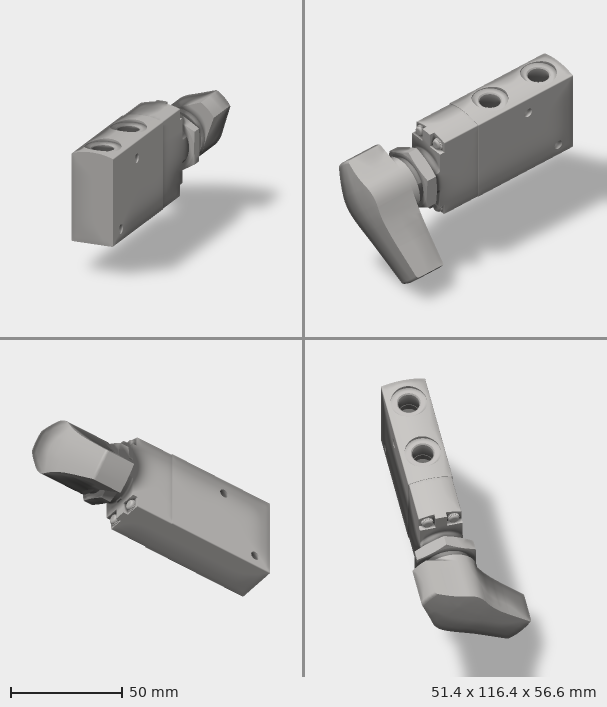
import cadquery as cq
import math


BODY_WIDTH = 20.38
BODY_LENGTH = 55.0
BODY_TOP = 22.65
BODY_BOTTOM = -20.9
CROWN_SAG = 1.75
EDGE_ROUNDING = 0.5

PORT_YS = (11.75, 39.9)
SPOTFACE_DIAMETER = 16.5
SPOTFACE_DEPTH = 1.5
PORT_MOUTH_DIAMETER = 10.8
THREAD_DIAMETER = 9.7
THREAD_DEPTH = 8.0
DRILL_DIAMETER = 9.12
DRILL_DEPTH = 11.0

MOUNT_HOLE_DIAMETER = 4.4
MOUNT_HOLES = ((26.0, 12.9), (8.5, -15.1))

CAP_WIDTH = 19.7
CAP_LENGTH = 22.0
CAP_CROWN_DROP = 0.2
CAP_END = BODY_LENGTH + CAP_LENGTH
NECK_DIAMETER = 22.15
NECK_LENGTH = 14.3
NECK_END = CAP_END + NECK_LENGTH
NECK_BASE_FILLET = 0.7
LUG_WIDTH = 3.0
LUG_HEIGHT = NECK_BASE_FILLET
LUG_BOTTOM = -12.1

RECESS_DEPTH = 2.5
RECESS_INNER_X = 2.65
RECESS_INNER_Z = 15.4
SCREW_X = 6.0
SCREW_Z = 18.15
HEAD_DIAMETER = 5.4
HEAD_HEIGHT = 2.2
HEAD_DOME_RADIUS = 1.0
KNURL_HEIGHT = 1.1
KNURL_DEPTH = 0.3
KNURL_COUNT = 20

NUT_ACROSS_FLATS = 27.0
NUT_THICKNESS = 6.0
NUT_START = 81.8
NUT_FACE_DIAMETER = 26.6
NUT_CHAMFER_ANGLE = 15.0

COLLAR_DIAMETER = 26.0
COLLAR_LENGTH = 3.5
HANDLE_BASE = NECK_END + COLLAR_LENGTH
HANDLE_END = 116.4
HANDLE_HEIGHT = HANDLE_END - HANDLE_BASE
HANDLE_ANGLE = 135.0
TIP_RADIUS = 41.5
TIP_HALF_WIDTH = 7.2
TAIL_RADIUS = 20.6
TAIL_HALF_WIDTH = 4.52
TAIL_FLANK_END = (-14.3, 7.25)
HUB_RADIUS = 13.05
HUB_START_ALONG = -6.5
HUB_END_ALONG = 3.95
LEVER_FLANK_START = (24.4, 8.56)
TOP_ARC_RADIUS = 75.0
TOP_SLOPE_ANGLE = 9.4
TAIL_ARC_ANGLE = 30.0
TOP_CROWN_RADIUS = 51.0
TOP_EDGE_FILLET = 1.5
END_ZONE = 1.0


def box_between(x0, x1, y0, y1, z0, z1):
    return cq.Workplane("XY").box(x1 - x0, y1 - y0, z1 - z0, centered=False).translate((x0, y0, z0))


def disc_along_y(diameter, y0, y1):
    return cq.Workplane("XZ", origin=(0, y0, 0)).circle(diameter / 2).extrude(y0 - y1)


def crowned_block(width, y0, y1, top):
    """Block along Y with a domed top face and rounded long edges."""
    half = width / 2
    shoulder = top - CROWN_SAG
    return (
        cq.Workplane("XZ", origin=(0, y0, 0))
        .moveTo(-half, BODY_BOTTOM)
        .lineTo(half, BODY_BOTTOM)
        .lineTo(half, shoulder)
        .threePointArc((0, top), (-half, shoulder))
        .close()
        .extrude(y0 - y1)
        .edges("|Y")
        .fillet(EDGE_ROUNDING)
    )


def port_cutter():
    """Spotface, chamfered thread and drilled hole, turned about Z from the top face down."""
    floor = BODY_TOP - SPOTFACE_DEPTH
    chamfer = (PORT_MOUTH_DIAMETER - THREAD_DIAMETER) / 2
    return (
        cq.Workplane("XZ")
        .moveTo(0, BODY_TOP)
        .lineTo(SPOTFACE_DIAMETER / 2, BODY_TOP)
        .lineTo(SPOTFACE_DIAMETER / 2, floor)
        .lineTo(PORT_MOUTH_DIAMETER / 2, floor)
        .lineTo(THREAD_DIAMETER / 2, floor - chamfer)
        .lineTo(THREAD_DIAMETER / 2, floor - THREAD_DEPTH)
        .lineTo(DRILL_DIAMETER / 2, floor - THREAD_DEPTH)
        .lineTo(DRILL_DIAMETER / 2, floor - DRILL_DEPTH)
        .lineTo(0, floor - DRILL_DEPTH)
        .close()
        .revolve(360, (0, 0), (0, 1))
    )


def make_body():
    body = crowned_block(BODY_WIDTH, 0, BODY_LENGTH, BODY_TOP)
    for port_y in PORT_YS:
        body = body.cut(port_cutter().translate((0, port_y, 0)))
    mount_holes = (
        cq.Workplane("YZ")
        .pushPoints(MOUNT_HOLES)
        .circle(MOUNT_HOLE_DIAMETER / 2)
        .extrude(BODY_WIDTH / 2, both=True)
    )
    return body.cut(mount_holes)


def make_screw_head():
    """Round-topped screw head on the Y axis with a knurled lower band, seat at Y = 0."""
    radius = HEAD_DIAMETER / 2
    outline = []
    for i in range(2 * KNURL_COUNT):
        angle = math.pi * i / KNURL_COUNT
        reach = radius - KNURL_DEPTH * (i % 2)
        outline.append((reach * math.cos(angle), reach * math.sin(angle)))
    knurl = cq.Workplane("XZ").polyline(outline).close().extrude(-KNURL_HEIGHT)
    core = disc_along_y(HEAD_DIAMETER - 2 * KNURL_DEPTH, 0, HEAD_HEIGHT)
    dome = core.faces(">Y").edges().fillet(HEAD_DOME_RADIUS)
    return knurl.union(dome)


def make_neck():
    """Round neck, flared by a fillet at its base, with two flats flush with the cap sides."""
    radius = NECK_DIAMETER / 2
    flare = radius + NECK_BASE_FILLET
    fillet_end = CAP_END + NECK_BASE_FILLET
    bend = NECK_BASE_FILLET * (1 - math.sqrt(0.5))
    round_neck = (
        cq.Workplane("XY")
        .moveTo(0, BODY_LENGTH)
        .lineTo(flare, BODY_LENGTH)
        .lineTo(flare, CAP_END)
        .threePointArc((radius + bend, CAP_END + bend), (radius, fillet_end))
        .lineTo(radius, NECK_END)
        .lineTo(0, NECK_END)
        .close()
        .revolve(360, (0, 0), (0, 1))
    )
    between_flats = box_between(-CAP_WIDTH / 2, CAP_WIDTH / 2, BODY_LENGTH, NECK_END, -flare, flare)
    return round_neck.intersect(between_flats)


def make_cap():
    cap = crowned_block(CAP_WIDTH, BODY_LENGTH, CAP_END, BODY_TOP - CAP_CROWN_DROP)
    recess = box_between(
        RECESS_INNER_X, BODY_WIDTH, CAP_END - RECESS_DEPTH, CAP_END, RECESS_INNER_Z, BODY_TOP
    )
    recess = recess.union(recess.mirror("YZ"))
    cap = cap.cut(recess).cut(recess.mirror("XY"))
    for x in (-SCREW_X, SCREW_X):
        for z in (-SCREW_Z, SCREW_Z):
            cap = cap.union(make_screw_head().translate((x, CAP_END - RECESS_DEPTH, z)))
    lug = box_between(-LUG_WIDTH / 2, LUG_WIDTH / 2, CAP_END, CAP_END + LUG_HEIGHT, LUG_BOTTOM, 0)
    return cap.union(make_neck()).union(lug)


def make_nut():
    """Hexagon nut with flats facing +X and -X, its corners turned off at both faces."""
    corner_radius = NUT_ACROSS_FLATS / math.sqrt(3)
    face_radius = NUT_FACE_DIAMETER / 2
    chamfer = (corner_radius - face_radius) * math.tan(math.radians(NUT_CHAMFER_ANGLE))
    nut_end = NUT_START + NUT_THICKNESS
    hexagon = (
        cq.Workplane("XZ", origin=(0, NUT_START, 0))
        .polygon(6, 2 * corner_radius)
        .extrude(-NUT_THICKNESS)
        .rotate((0, 0, 0), (0, 1, 0), 30)
    )
    turned = (
        cq.Workplane("XY")
        .moveTo(0, NUT_START)
        .lineTo(face_radius, NUT_START)
        .lineTo(corner_radius, NUT_START + chamfer)
        .lineTo(corner_radius, nut_end - chamfer)
        .lineTo(face_radius, nut_end)
        .lineTo(0, nut_end)
        .close()
        .revolve(360, (0, 0), (0, 1))
    )
    return hexagon.intersect(turned).cut(disc_along_y(NECK_DIAMETER, NUT_START, nut_end))


def other_leg(radius, leg):
    """Second coordinate of a point on a circle about the stem axis, given the first."""
    return math.sqrt(radius**2 - leg**2)


def handle_outline():
    """Lever outline, symmetric about its long axis, with a round hub around the stem."""
    tip = (other_leg(TIP_RADIUS, TIP_HALF_WIDTH), TIP_HALF_WIDTH)
    tip_mid = (other_leg(TIP_RADIUS, TIP_HALF_WIDTH / 2), TIP_HALF_WIDTH / 2)
    tail = (-other_leg(TAIL_RADIUS, TAIL_HALF_WIDTH), TAIL_HALF_WIDTH)
    tail_mid = (-other_leg(TAIL_RADIUS, TAIL_HALF_WIDTH / 2), TAIL_HALF_WIDTH / 2)
    hub_start = (HUB_START_ALONG, other_leg(HUB_RADIUS, HUB_START_ALONG))
    hub_end = (HUB_END_ALONG, other_leg(HUB_RADIUS, HUB_END_ALONG))
    half = (
        cq.Workplane("XY")
        .moveTo(-TAIL_RADIUS, 0)
        .threePointArc(tail_mid, tail)
        .lineTo(*TAIL_FLANK_END)
        .tangentArcPoint(hub_start, relative=False)
        .threePointArc((0, HUB_RADIUS), hub_end)
        .tangentArcPoint(LEVER_FLANK_START, relative=False)
        .lineTo(*tip)
        .threePointArc(tip_mid, (TIP_RADIUS, 0))
    )
    return half.mirrorX()


def top_section():
    """Cross-section of the lever under its crowned top, taken over the stem axis."""
    half_width = 2 * HUB_RADIUS
    crown_edge = HANDLE_HEIGHT - TOP_CROWN_RADIUS + math.sqrt(TOP_CROWN_RADIUS**2 - half_width**2)
    return (
        cq.Workplane("YZ")
        .moveTo(-half_width, -HANDLE_HEIGHT)
        .lineTo(half_width, -HANDLE_HEIGHT)
        .lineTo(half_width, crown_edge)
        .threePointArc((0, HANDLE_HEIGHT), (-half_width, crown_edge))
        .close()
    )


def handle_top():
    """Solid under the crowned top: an arc over the hub that runs on as a straight slope to the tip."""
    pivot_height = HANDLE_HEIGHT - TOP_ARC_RADIUS
    pivot = (0, 0, pivot_height)
    pivot_axis_end = (0, 1, pivot_height)
    arc = (
        top_section()
        .revolve(TAIL_ARC_ANGLE + TOP_SLOPE_ANGLE, (0, pivot_height), (1, pivot_height))
        .rotate(pivot, pivot_axis_end, -TAIL_ARC_ANGLE)
    )
    slope = top_section().extrude(TIP_RADIUS).rotate(pivot, pivot_axis_end, TOP_SLOPE_ANGLE)
    return arc.union(slope)


def make_handle():
    """Lever with its collar, built upright on Z, then laid along Y and turned to the lever angle."""
    lever = handle_outline().extrude(HANDLE_HEIGHT).intersect(handle_top())
    for end in (-TAIL_RADIUS, TIP_RADIUS):
        end_zone = cq.selectors.BoxSelector(
            (end - END_ZONE, -TIP_HALF_WIDTH, HANDLE_HEIGHT / 2),
            (end + END_ZONE, TIP_HALF_WIDTH, HANDLE_HEIGHT),
        )
        top_edge = lever.edges(end_zone).edges("not |Z")
        lever = lever.newObject(top_edge.vals()).fillet(TOP_EDGE_FILLET)
    collar = cq.Workplane("XY").circle(COLLAR_DIAMETER / 2).extrude(-COLLAR_LENGTH)
    return (
        lever.union(collar)
        .rotate((0, 0, 0), (1, 0, 0), -90)
        .rotate((0, 0, 0), (0, 1, 0), HANDLE_ANGLE)
        .translate((0, HANDLE_BASE, 0))
    )


body = make_body()
cap = make_cap()
nut = make_nut()
handle = make_handle()
result = cq.Compound.makeCompound([body.val(), cap.val(), nut.val(), handle.val()])